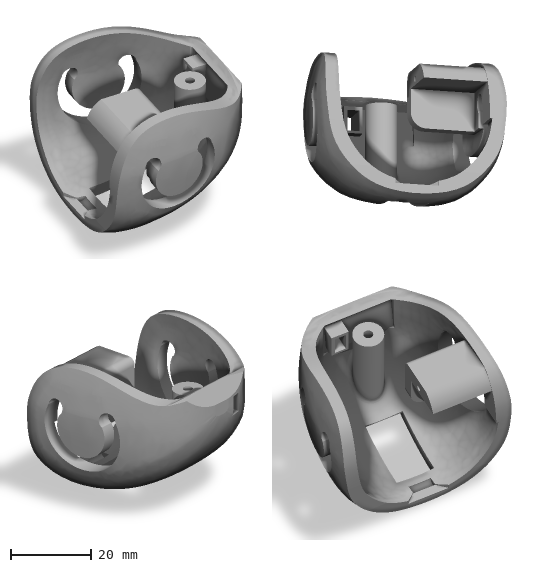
import cadquery as cq
import math


HALF_WIDTH = 24.1
REAR_Y = 44.1
WALL = 3.35
FLOOR_WALL = 3.05
SIDE_WALL = 3.6
HEIGHT = 38.75

WIDEST_Y = 6.75
LOWEST_Y = 6.02
PLAN_FRONT_LENGTH = 17.75
FLOOR_FRONT_LENGTH = 26.5
OUTER_FLOOR_POWER = 1.9
INNER_FLOOR_POWER = 2.0
OUTER_SECTION_POWER = 2.2
INNER_SECTION_POWER = 2.1
PLAN_POWER = 2.55
NOSE_Z = 28.4
BELLY_Z = 24.1
BELLY_RISE = 4.8
POWER_RISE = 0.7
LEAN = 0.11
LEAN_HEIGHT = 14.45
SECTION_TOP_Z = HEIGHT + 0.2
SIDE_SHARES = (1, 0.67, 0.33)
SECTION_ANGLES = (0, 18, 36, 54, 72)
REAR_STEPS = 8
FRONT_MARGIN_Y = -1.95

CLEARANCE = 0.5
CUT_REACH = HALF_WIDTH + 2.4

REAR_CAP_Y = 44.05
INNER_CAP_Y = 38.75


def bulge(y, centre_y, front_length, rear_y, power):
    """Superellipse height (1 at centre_y, 0 at rear_y) at the place y."""
    length = front_length if y < centre_y else rear_y - centre_y
    return (1 - (abs(y - centre_y) / length) ** power) ** (1 / power)


def egg(half_width, lowest_z, rear_y, floor_power, section_power, cap_y):
    """Loft of U-shaped sections whose width and floor follow superellipses along Y."""
    cap_angle = math.asin((cap_y - WIDEST_Y) / (rear_y - WIDEST_Y))
    stations = [FRONT_MARGIN_Y, FRONT_MARGIN_Y + WIDEST_Y / 2]
    stations += [
        WIDEST_Y + (rear_y - WIDEST_Y) * math.sin(cap_angle * step / REAR_STEPS)
        for step in range(REAR_STEPS + 1)
    ]
    wires = []
    for y in stations:
        width = half_width * bulge(y, WIDEST_Y, PLAN_FRONT_LENGTH, rear_y, PLAN_POWER)
        rise = bulge(y, LOWEST_Y, FLOOR_FRONT_LENGTH, rear_y, floor_power)
        floor = NOSE_Z - (NOSE_Z - lowest_z) * rise
        belly = BELLY_Z + BELLY_RISE * floor / NOSE_Z
        power = section_power + POWER_RISE * math.sqrt(max(y, 0) / rear_y)
        side = []
        for share in SIDE_SHARES:
            z = belly + share * (SECTION_TOP_Z - belly)
            side.append((width * (1 - LEAN * ((z - belly) / LEAN_HEIGHT) ** 2), z))
        for angle in SECTION_ANGLES:
            c = math.cos(math.radians(angle)) ** (2 / power)
            s = math.sin(math.radians(angle)) ** (2 / power)
            side.append((width * c, belly - (belly - floor) * s))
        outline = side + [(0, floor)] + [(-x, z) for x, z in reversed(side)]
        knots = [i / (len(outline) - 1) for i in range(len(outline))]
        section = cq.Workplane("XZ", origin=(0, y, 0)).spline(outline, parameters=knots).close()
        wires.append(section.val())
    return cq.Workplane(cq.Solid.makeLoft(wires))


def box(x0, x1, y0, y1, z0, z1):
    """Block between two places on each axis."""
    return cq.Workplane(cq.Solid.makeBox(x1 - x0, y1 - y0, z1 - z0, cq.Vector(x0, y0, z0)))


def along_x(outline_yz, x0, x1):
    """Extrude a closed YZ outline from x0 to x1."""
    return outline_yz.extrude(x1 - x0).translate((x0, 0, 0))


FRONT_FOOT = (0.5, -2.4)
FRONT_LOW = (0.0, 7.05)
FRONT_HIGH = (0.0, 18.3)
FRONT_SHOULDER = (1.05, 28.4)
FRONT_CROWN = (5.15, 35.45)
RIM_PEAK = (16.15, HEIGHT)
REAR_SLOPE = (29.2, 36.1)
RIM_DIP = (38.3, 33.5)
REAR_TIP = (41.25, 35.3)
REAR_EDGE = (44.35, 30.25)
LIP_HALF_WIDTH = 14.95
LIP_END_Z = RIM_DIP[1]

rim_outline = (
    cq.Workplane("YZ")
    .moveTo(*FRONT_FOOT)
    .lineTo(*FRONT_LOW)
    .lineTo(*FRONT_HIGH)
    .spline(
        [FRONT_SHOULDER, FRONT_CROWN, RIM_PEAK, REAR_SLOPE, RIM_DIP, REAR_TIP],
        tangents=[(0, 1), (1, 1)], includeCurrent=True,
    )
    .lineTo(*REAR_EDGE)
    .lineTo(REAR_EDGE[0], FRONT_FOOT[1])
    .close()
)
trim = along_x(rim_outline, -CUT_REACH, CUT_REACH)

outer = egg(HALF_WIDTH, 0.0, REAR_Y, OUTER_FLOOR_POWER, OUTER_SECTION_POWER, REAR_CAP_Y).intersect(trim)
cavity = egg(
    HALF_WIDTH - SIDE_WALL, FLOOR_WALL, REAR_Y - WALL, INNER_FLOOR_POWER, INNER_SECTION_POWER, INNER_CAP_Y
)
lip_crown = (
    cq.Workplane("XZ", origin=(0, REAR_Y + CLEARANCE, 0))
    .moveTo(-LIP_HALF_WIDTH, LIP_END_Z)
    .threePointArc((0, REAR_TIP[1]), (LIP_HALF_WIDTH, LIP_END_Z))
    .lineTo(LIP_HALF_WIDTH, SECTION_TOP_Z)
    .lineTo(-LIP_HALF_WIDTH, SECTION_TOP_Z)
    .close()
    .extrude(REAR_Y + CLEARANCE - RIM_DIP[0])
)

PANEL_HALF_WIDTH = 10.0
PANEL_BOTTOM = 22.7
PANEL_TOP = 31.65
PANEL_TOP_Y = 40.0
PANEL_OPEN_Y = 33.75
panel_hollow = along_x(
    cq.Workplane("YZ")
    .polyline([(INNER_CAP_Y, PANEL_BOTTOM), (PANEL_TOP_Y, PANEL_TOP), (INNER_CAP_Y, RIM_DIP[1]),
               (PANEL_OPEN_Y, RIM_DIP[1]), (PANEL_OPEN_Y, PANEL_BOTTOM)])
    .close(),
    -PANEL_HALF_WIDTH, PANEL_HALF_WIDTH,
)
shell = outer.cut(cavity).cut(lip_crown).cut(panel_hollow)

POST_Y = 33.05
POST_DIAMETER = 8.0
POST_TOP = 31.1
POST_HOLE = 2.5
POST_FILLET = 1.0
post = cq.Workplane("XY").center(0, POST_Y).circle(POST_DIAMETER / 2).extrude(POST_TOP)
shell = shell.union(post.intersect(outer))
foot_half = POST_DIAMETER / 2 + CLEARANCE
foot_selector = cq.selectors.BoxSelector(
    (-foot_half, POST_Y - foot_half, FLOOR_WALL),
    (foot_half, POST_Y + foot_half, POST_TOP - CLEARANCE),
    boundingbox=True,
)
shell = shell.edges(foot_selector).fillet(POST_FILLET)
post_hole = cq.Workplane("XY").center(0, POST_Y).circle(POST_HOLE / 2).extrude(HEIGHT)

WINDOW_X = (-7.85, -4.8)
WINDOW_Z = (25.05, 30.35)
COLLAR_X = (-8.85, -4.0)
COLLAR_Z = (24.45, 31.3)
COLLAR_FRONT_Y = 35.95
collar = box(*COLLAR_X, COLLAR_FRONT_Y, PANEL_TOP_Y + CLEARANCE, *COLLAR_Z)
rear_window = box(*WINDOW_X, COLLAR_FRONT_Y - CLEARANCE, REAR_Y + CLEARANCE, *WINDOW_Z)

PAD_X = 19.0
BRACKET_X = 2.5
BRACKET_FRONT_Y = 2.5
BRACKET_REAR_Y = 17.95
BRACKET_BOTTOM = 21.35
BRACKET_TOP = 35.85
SHELF_Z = 31.35
PLATE_Y = 14.6
NOSE_BACK_Y = 6.5
NOSE_MIDDLE = (4.0, 34.0)
PLATE_CORNER = 4.05
REAR_ROUND = 1.95
PIN_HOLE = 1.5
PIN_HOLE_DEPTH = 4.8
PIN_HOLE_YZ = (10.5, 32.9)

pad = box(PAD_X, HALF_WIDTH, 0, BRACKET_REAR_Y, BRACKET_BOTTOM, BRACKET_TOP).intersect(outer)

bracket_outline = (
    cq.Workplane("YZ")
    .moveTo(BRACKET_FRONT_Y, SHELF_Z)
    .threePointArc(NOSE_MIDDLE, (NOSE_BACK_Y, BRACKET_TOP))
    .lineTo(BRACKET_REAR_Y - REAR_ROUND, BRACKET_TOP)
    .radiusArc((BRACKET_REAR_Y, BRACKET_TOP - REAR_ROUND), REAR_ROUND)
    .lineTo(BRACKET_REAR_Y, BRACKET_BOTTOM)
    .lineTo(PLATE_Y, BRACKET_BOTTOM)
    .lineTo(PLATE_Y, SHELF_Z)
    .close()
)
bracket = along_x(bracket_outline, BRACKET_X, HALF_WIDTH)
bracket = bracket.edges("|Y").edges("<X").edges("<Z").fillet(PLATE_CORNER).intersect(outer)
pin_hole = along_x(
    cq.Workplane("YZ").center(*PIN_HOLE_YZ).circle(PIN_HOLE / 2), BRACKET_X, BRACKET_X + PIN_HOLE_DEPTH
)

SLOT_Y = 17.6
SLOT_Z = 22.9
SLOT_OUTER = 11.1
SLOT_INNER = 7.05
SLOT_END_DIAMETER = 4.5
SLOT_END_ANGLE = 32.0
OPENING_REACH = 3
SLOT_END_RADIUS = (SLOT_OUTER + SLOT_INNER) / 2


def horseshoe_slot():
    """Ring sector through both sides, open at the top, with a larger round hole at each end."""
    ring = along_x(
        cq.Workplane("YZ").center(SLOT_Y, SLOT_Z).circle(SLOT_OUTER).circle(SLOT_INNER), -CUT_REACH, CUT_REACH
    )
    end_y = SLOT_END_RADIUS * math.cos(math.radians(SLOT_END_ANGLE))
    end_z = SLOT_END_RADIUS * math.sin(math.radians(SLOT_END_ANGLE))
    opening = along_x(
        cq.Workplane("YZ", origin=(0, SLOT_Y, SLOT_Z))
        .polyline([(0, 0), (OPENING_REACH * end_y, OPENING_REACH * end_z),
                   (-OPENING_REACH * end_y, OPENING_REACH * end_z)]).close(),
        -CUT_REACH, CUT_REACH,
    )
    ends = along_x(
        cq.Workplane("YZ", origin=(0, SLOT_Y, SLOT_Z))
        .pushPoints([(end_y, end_z), (-end_y, end_z)]).circle(SLOT_END_DIAMETER / 2),
        -CUT_REACH, CUT_REACH,
    )
    return ring.cut(opening).union(ends)


FLOOR_WINDOW_HALF = 5.25
FLOOR_WINDOW_Y = (7.35, 24.55)
FLOOR_WINDOW_TOP = 14.45
FLOOR_WINDOW_BELOW = -CLEARANCE
UNDERCUT_Z = 6.7
UNDERCUT_REAR_Y = 35.48
NOTCH_Z = 3.1
NOTCH_HALF_FRONT = 5.6
NOTCH_HALF_REAR = 3.1
NOTCH_FRONT_Y = 0.3
NOTCH_TAPER_Y = 2.65
NOTCH_REAR_Y = 5.0
NOTCH_HEIGHT = 2.9
GROOVE_DIAMETER = NOTCH_REAR_Y - NOTCH_TAPER_Y

floor_window = along_x(
    cq.Workplane("YZ")
    .polyline([
        (FLOOR_WINDOW_Y[0], FLOOR_WINDOW_BELOW), (FLOOR_WINDOW_Y[0], FLOOR_WINDOW_TOP),
        (FLOOR_WINDOW_Y[1], FLOOR_WINDOW_TOP), (FLOOR_WINDOW_Y[1], UNDERCUT_Z),
        (UNDERCUT_REAR_Y, FLOOR_WINDOW_BELOW),
    ])
    .close(),
    -FLOOR_WINDOW_HALF, FLOOR_WINDOW_HALF,
)
notch = (
    cq.Workplane("XY", origin=(0, 0, NOTCH_Z))
    .polyline([
        (-NOTCH_HALF_FRONT, -CLEARANCE), (NOTCH_HALF_FRONT, -CLEARANCE), (NOTCH_HALF_FRONT, NOTCH_FRONT_Y),
        (NOTCH_HALF_REAR, NOTCH_TAPER_Y), (NOTCH_HALF_REAR, NOTCH_REAR_Y),
        (-NOTCH_HALF_REAR, NOTCH_REAR_Y), (-NOTCH_HALF_REAR, NOTCH_TAPER_Y),
        (-NOTCH_HALF_FRONT, NOTCH_FRONT_Y),
    ])
    .close()
    .extrude(NOTCH_HEIGHT)
)
groove = along_x(
    cq.Workplane("YZ").center((NOTCH_TAPER_Y + NOTCH_REAR_Y) / 2, NOTCH_Z).circle(GROOVE_DIAMETER / 2),
    -NOTCH_HALF_REAR, NOTCH_HALF_REAR,
)

body = shell.union(pad).cut(horseshoe_slot())
body = body.union(bracket).union(collar)
result = body.cut(post_hole).cut(rear_window).cut(pin_hole).cut(floor_window).cut(notch).cut(groove)